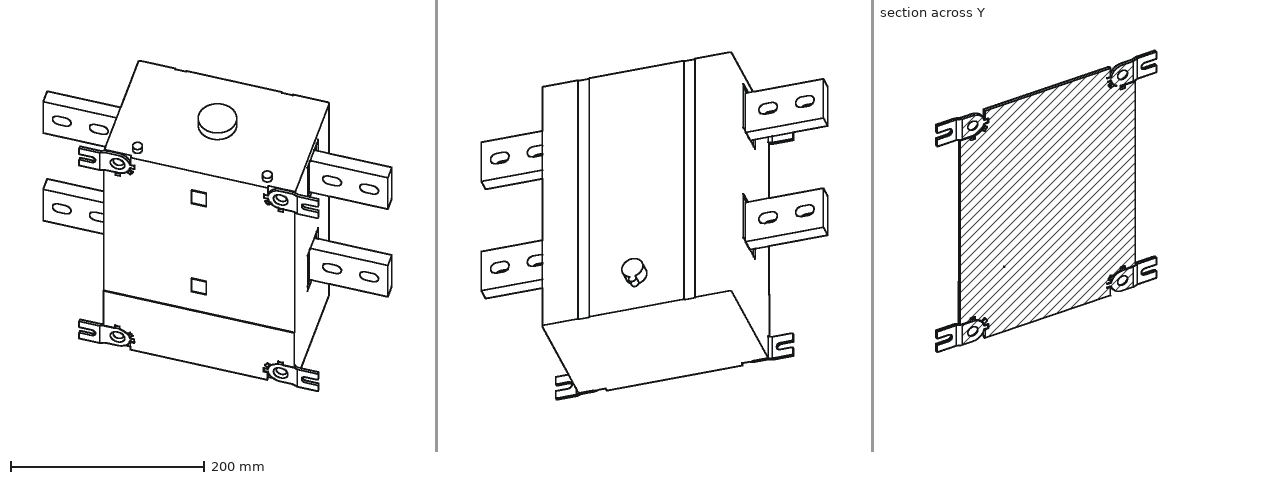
import cadquery as cq


body_width = 206.0
body_height = 304.0
body_front = 2.0
body_back = 132.0
back_edge_radius = 2.5
half_width = body_width / 2
mid_height = body_height / 2

joint_overlap = 1.0

raised_front = 1.0
panel_height = 84.0
badge_width = 16.0
badge_height = 20.5

groove_width = 12.0
groove_depth = 1.0
groove_offset = 57.5

pole_levels = (264.0, 124.0)
pole_y = 70.0

bar_span = 372.0
bar_height = 50.0
bar_thickness = 15.0
bar_y = 70.2
bar_levels = (263.7, 124.5)
slot_length = 20.0
slot_width = 13.0
slot_pitch = 40.0
slot_end_distance = 20.2
slot_rise = 0.5
window_depth = 2.0
window_width = 40.0
window_height = 56.0

button_diameter = 40.0
button_top = 314.5
pin_diameter = 10.0
pin_top = 310.0
pin_offset = 70.0
pin_y = 14.4

handle_back = 145.9
handle_diameter = 22.8
handle_level = 41.9
pointer_diameter = 8.0
pointer_tip = 24.3
pointer_front = 136.6

hub_offset = 88.0
hub_edge_distance = 14.6
hub_level = body_height - hub_edge_distance
bracket_radius = 13.7
bracket_thickness = 3.0
bracket_end = 129.0
bracket_corner_radius = 1.0
bend_outer = 106.4
bend_middle = 102.8
bend_inner = 100.4
bend_middle_y = 1.4
countersink_diameter = 15.5
screw_hole_diameter = 11.0
tooth_width = 4.8
fixing_slot_width = 8.5
fixing_slot_inner_end = 111.2

recess_clearance = 0.4
recess_radius = bracket_radius + recess_clearance
recess_floor = body_front + bracket_thickness
notch_width = 5.4
notch_reach = 18.4
tooth_reach = notch_reach - recess_clearance

notch_angles = (0, 33, 90)


def block(x_range, y_range, z_range):
    """Box between two limits on each axis."""
    size = [high - low for low, high in (x_range, y_range, z_range)]
    corner = (x_range[0], y_range[0], z_range[0])
    return cq.Workplane("XY").box(*size, centered=False).translate(corner)


def cylinder_y(x, z, diameter, y_start, y_end):
    """Cylinder along Y."""
    base = cq.Vector(x, y_start, z)
    return cq.Workplane(cq.Solid.makeCylinder(diameter / 2, y_end - y_start, base, cq.Vector(0, 1, 0)))


def cylinder_z(x, y, diameter, z_start, z_end):
    """Cylinder along Z."""
    base = cq.Vector(x, y, z_start)
    return cq.Workplane(cq.Solid.makeCylinder(diameter / 2, z_end - z_start, base))


def in_all_corners(shape):
    """The upper left shape, followed by its copies in the other three corners."""
    upper_right = shape.mirror("YZ")
    upper_pair = [shape, upper_right]
    lower_pair = [item.mirror("XY", (0, 0, mid_height)) for item in upper_pair]
    return upper_pair + lower_pair


def make_housing():
    housing = block((-half_width, half_width), (body_front, body_back), (0, body_height))
    housing = housing.edges("|Z and >Y").fillet(back_edge_radius)
    for x in (-groove_offset, groove_offset):
        groove_x = (x - groove_width / 2, x + groove_width / 2)
        housing = housing.cut(block(groove_x, (body_back - groove_depth, body_back), (0, body_height)))
    raised_y = (raised_front, body_front + joint_overlap)
    housing = housing.union(block((-half_width, half_width), raised_y, (0, panel_height)))
    for z in pole_levels:
        badge_z = (z - badge_height / 2, z + badge_height / 2)
        housing = housing.union(block((-badge_width / 2, badge_width / 2), raised_y, badge_z))
    return housing


def cut_windows(housing):
    """Sinks a window into both sides at each pole."""
    for z in pole_levels:
        window_y = (pole_y - window_width / 2, pole_y + window_width / 2)
        window_z = (z - window_height / 2, z + window_height / 2)
        left = block((-half_width, window_depth - half_width), window_y, window_z)
        housing = housing.cut(left).cut(left.mirror("YZ"))
    return housing


def make_bar(z):
    """Terminal bar right through the housing, with two slots at each end."""
    bar_end = bar_span / 2
    bar_sides = (bar_y - bar_thickness / 2, bar_y + bar_thickness / 2)
    bar = block((-bar_end, bar_end), bar_sides, (z - bar_height / 2, z + bar_height / 2))
    outer_slot = bar_end - slot_end_distance
    inner_slot = outer_slot - slot_pitch
    slot_centres = [(side * x, z + slot_rise) for side in (-1, 1) for x in (outer_slot, inner_slot)]
    slots = (
        cq.Workplane("XZ", origin=(0, bar_sides[1], 0))
        .pushPoints(slot_centres)
        .slot2D(slot_length, slot_width)
        .extrude(bar_thickness)
    )
    return bar.cut(slots)


def make_handle():
    """Round knob on the back face with a small pointer at its lower edge."""
    knob = cylinder_y(0, handle_level, handle_diameter, body_back - joint_overlap, handle_back)
    pointer_level = pointer_tip + pointer_diameter / 2
    pointer = cylinder_y(0, pointer_level, pointer_diameter, pointer_front, handle_back)
    return knob.union(pointer)


def make_recess():
    """Upper left corner recess: open to the side and the top, with notches around the hub."""
    recess_y = (raised_front, recess_floor)
    recess = cylinder_y(-hub_offset, hub_level, 2 * recess_radius, *recess_y)
    side_z = (hub_level - recess_radius, body_height)
    recess = recess.union(block((-half_width, -hub_offset), recess_y, side_z))
    top_x = (-half_width, recess_radius - hub_offset)
    recess = recess.union(block(top_x, recess_y, (hub_level, body_height)))
    for angle in notch_angles:
        notch = block((0, notch_reach), recess_y, (-notch_width / 2, notch_width / 2))
        notch = notch.rotate((0, 0, 0), (0, 1, 0), angle)
        recess = recess.union(notch.translate((-hub_offset, 0, hub_level)))
    return recess


def make_bracket():
    """Upper left bracket: cranked strip with a round end, a countersunk hole, a tooth and an open slot."""
    tip = bracket_radius - hub_offset
    back = bracket_thickness
    strip = (
        cq.Workplane("XY", origin=(0, 0, hub_level - bracket_radius))
        .polyline(
            [
                (-bracket_end, 0),
                (-bend_outer, 0),
                (-bend_middle, bend_middle_y),
                (-bend_inner, body_front),
                (tip, body_front),
                (tip, body_front + back),
                (-bend_inner, body_front + back),
                (-bend_middle, bend_middle_y + back),
                (-bend_outer, back),
                (-bracket_end, back),
            ]
        )
        .close()
        .extrude(2 * bracket_radius)
    )
    slot_radius = fixing_slot_width / 2
    outline = (
        cq.Workplane("XZ", origin=(0, recess_floor, 0))
        .moveTo(-bracket_end, hub_level - bracket_radius)
        .lineTo(-hub_offset, hub_level - bracket_radius)
        .threePointArc((tip, hub_level), (-hub_offset, hub_level + bracket_radius))
        .lineTo(-bracket_end, hub_level + bracket_radius)
        .lineTo(-bracket_end, hub_level + slot_radius)
        .lineTo(-fixing_slot_inner_end - slot_radius, hub_level + slot_radius)
        .threePointArc(
            (-fixing_slot_inner_end, hub_level),
            (-fixing_slot_inner_end - slot_radius, hub_level - slot_radius),
        )
        .lineTo(-bracket_end, hub_level - slot_radius)
        .close()
        .extrude(recess_floor)
        .edges("|Y and <X")
        .fillet(bracket_corner_radius)
    )
    countersink = cq.Solid.makeCone(
        countersink_diameter / 2,
        screw_hole_diameter / 2,
        bracket_thickness,
        cq.Vector(-hub_offset, body_front, hub_level),
        cq.Vector(0, 1, 0),
    )
    tooth = block((0, tooth_reach), (body_front, recess_floor), (-tooth_width / 2, tooth_width / 2))
    tooth = tooth.translate((-hub_offset, 0, hub_level))
    return strip.intersect(outline).union(tooth).cut(cq.Workplane(countersink))


def make_part():
    part = cut_windows(make_housing())
    for recess in in_all_corners(make_recess()):
        part = part.cut(recess)
    for bracket in in_all_corners(make_bracket()):
        part = part.union(bracket)
    for z in bar_levels:
        part = part.union(make_bar(z))
    root = body_height - joint_overlap
    part = part.union(cylinder_z(0, pole_y, button_diameter, root, button_top))
    for x in (-pin_offset, pin_offset):
        part = part.union(cylinder_z(x, pin_y, pin_diameter, root, pin_top))
    return part.union(make_handle())


result = make_part()